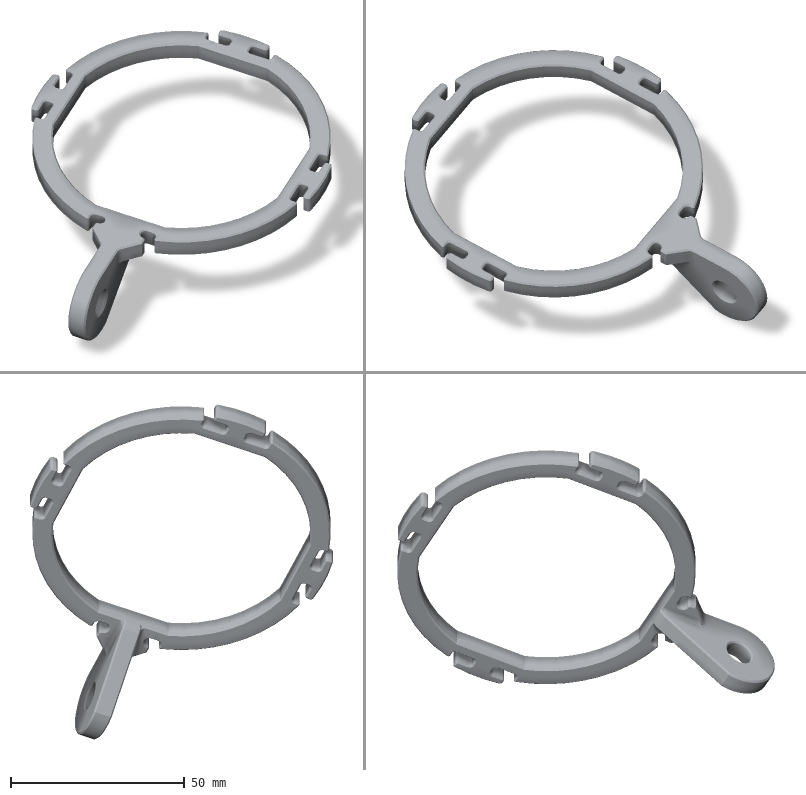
import cadquery as cq
import math

thickness = 6.0
outer_radius = 43.0
inner_radius = 37.1
flat_distance = 35.5
edge_chamfer = 0.5

head_radius = 44.9
head_half_width = 7.9
stem_half_width = 3.0
slot_floor = 39.0
slot_roof = 42.0
slot_half_span = 10.3
slot_fillet = 0.9
head_fillet = 0.8
lip_fillet = 0.6
hook_angles = (0, 90, 180)
lug_angle = 270

neck_half_width = 5.8
shoulder_distance = 44.3
shoulder_fillet = 2.1
strip_setback = 1.2

overall_length = 117.6
lug_width = 5.5
lug_radius = 11.5
hole_diameter = 7.8
heel_drop = 0.6
heel_bevel = 1.5
lug_corner_offset = 3.3
root_fillet = 1.2

hole_distance = overall_length - head_radius - lug_radius
lug_half_width = lug_width / 2
shoulder_end = shoulder_distance + head_half_width - lug_half_width
slot_width = slot_roof - slot_floor
slot_end_fillet = 0.49 * slot_width


def plan_prism(points):
    """Extrude a plan outline down through the ring thickness."""
    return cq.Workplane("XY").polyline(points).close().extrude(-thickness)


def disc(radius):
    return cq.Workplane("XY").circle(radius).extrude(-thickness)


def round_corners(solid, corners, radius):
    """Round the upright edges standing at the given plan points, on both sides of X = 0."""
    for x, y in corners:
        for side in (-1, 1):
            nearest = cq.selectors.NearestToPointSelector((side * x, y, -thickness / 2))
            solid = solid.edges("|Z").edges(nearest).fillet(radius)
    return solid


def height_on_circle(radius, x):
    return math.sqrt(radius**2 - x**2)


def sector(inner_half_width, head):
    """Quarter of the ring on the +Y side, with a slot cut on each side of a stem or neck."""
    reach = overall_length
    wedge = plan_prism([(0, 0), (reach, reach), (-reach, reach)])
    opening = plan_prism(
        [
            (-slot_half_span, slot_floor),
            (slot_half_span, slot_floor),
            (slot_half_span, reach),
            (-slot_half_span, reach),
        ]
    )
    bore = disc(inner_radius).intersect(
        cq.Workplane("XY").rect(2 * flat_distance, 2 * flat_distance).extrude(-thickness)
    )
    stem = plan_prism(
        [
            (-inner_half_width, slot_floor),
            (inner_half_width, slot_floor),
            (inner_half_width, slot_roof),
            (-inner_half_width, slot_roof),
        ]
    )
    return disc(outer_radius).cut(bore).intersect(wedge).cut(opening).union(stem).union(head)


def round_slots(solid, inner_half_width, corner_fillet):
    """Round the corners of the two slots and of the lips where they open."""
    slot_corners = [
        (inner_half_width, slot_floor),
        (inner_half_width, slot_roof),
        (slot_half_span, slot_floor),
    ]
    lip = (slot_half_span, height_on_circle(outer_radius, slot_half_span))
    solid = round_corners(solid, slot_corners, corner_fillet)
    return round_corners(solid, [lip], lip_fillet)


def hook_sector():
    """Ring quarter with a T-shaped hook."""
    head = disc(head_radius).intersect(
        plan_prism(
            [
                (-head_half_width, slot_roof),
                (head_half_width, slot_roof),
                (head_half_width, head_radius),
                (-head_half_width, head_radius),
            ]
        )
    )
    solid = round_slots(sector(stem_half_width, head), stem_half_width, slot_fillet)
    tip = (head_half_width, height_on_circle(head_radius, head_half_width))
    return round_corners(solid, [(head_half_width, slot_roof), tip], head_fillet)


def neck_sector():
    """Ring quarter whose head tapers into a strip as wide as the lug."""
    right_edge = [
        (head_half_width, slot_roof),
        (head_half_width, shoulder_distance),
        (lug_half_width, shoulder_end),
        (lug_half_width, hole_distance - strip_setback),
    ]
    left_edge = [(-x, y) for x, y in reversed(right_edge)]
    solid = sector(neck_half_width, plan_prism(right_edge + left_edge))
    solid = round_slots(solid, neck_half_width, slot_end_fillet)
    solid = round_corners(solid, [(head_half_width, slot_roof)], head_fillet)
    return round_corners(solid, [(lug_half_width, shoulder_end)], shoulder_fillet)


def turn(solid, angle):
    """Turn a sector built on the +Y side to the given direction from +X."""
    return solid.rotate((0, 0, 0), (0, 0, 1), angle - 90)


def ring():
    solid = turn(neck_sector(), lug_angle)
    hook = hook_sector()
    for angle in hook_angles:
        solid = solid.union(turn(hook, angle))
    return solid.clean()


def lug_profile():
    """Side outline of the lug in the YZ plane."""
    heel_z = -thickness - heel_drop
    corner = (
        lug_corner_offset - hole_distance,
        -lug_radius - height_on_circle(lug_radius, lug_corner_offset),
    )
    return (
        cq.Workplane("YZ")
        .moveTo(-hole_distance, 0)
        .lineTo(-flat_distance - edge_chamfer, 0)
        .lineTo(-flat_distance - edge_chamfer, -thickness + edge_chamfer)
        .lineTo(-flat_distance, -thickness + edge_chamfer)
        .lineTo(-flat_distance, heel_z)
        .lineTo(-flat_distance - heel_bevel, heel_z - heel_bevel)
        .lineTo(*corner)
        .threePointArc((-hole_distance - lug_radius, -lug_radius), (-hole_distance, 0))
        .close()
    )


def lug():
    """Lug plate with chamfered rims and a chamfered cross hole."""
    plate = lug_profile().extrude(lug_half_width, both=True)
    hole = (
        cq.Workplane("YZ")
        .center(-hole_distance, -lug_radius)
        .circle(hole_diameter / 2)
        .extrude(lug_half_width, both=True)
    )
    return plate.cut(hole).faces("<X or >X").chamfer(edge_chamfer)


def root_fillets():
    """Concave fillets where the lug sides meet the underside of the ring."""
    outer_x = lug_half_width + root_fillet
    low_z = -thickness - root_fillet
    heel = -flat_distance - edge_chamfer
    toe = -shoulder_end + edge_chamfer * math.sqrt(2)
    side_outline = [
        (heel, -thickness),
        (heel - root_fillet, low_z),
        (toe, low_z),
        (toe, -thickness),
    ]
    plan_outline = [
        (-outer_x, heel),
        (outer_x, heel),
        (outer_x, toe + root_fillet),
        (lug_half_width, toe),
        (-lug_half_width, toe),
        (-outer_x, toe + root_fillet),
    ]
    block = cq.Workplane("YZ").polyline(side_outline).close().extrude(outer_x, both=True)
    footprint = cq.Workplane("XY").polyline(plan_outline).close().extrude(low_z)
    hollows = (
        cq.Workplane("XZ")
        .pushPoints([(-outer_x, low_z), (outer_x, low_z)])
        .circle(root_fillet)
        .extrude(shoulder_end)
    )
    return block.intersect(footprint).cut(hollows)


plate = ring().faces("<Z or >Z").chamfer(edge_chamfer)
result = plate.union(lug()).union(root_fillets())